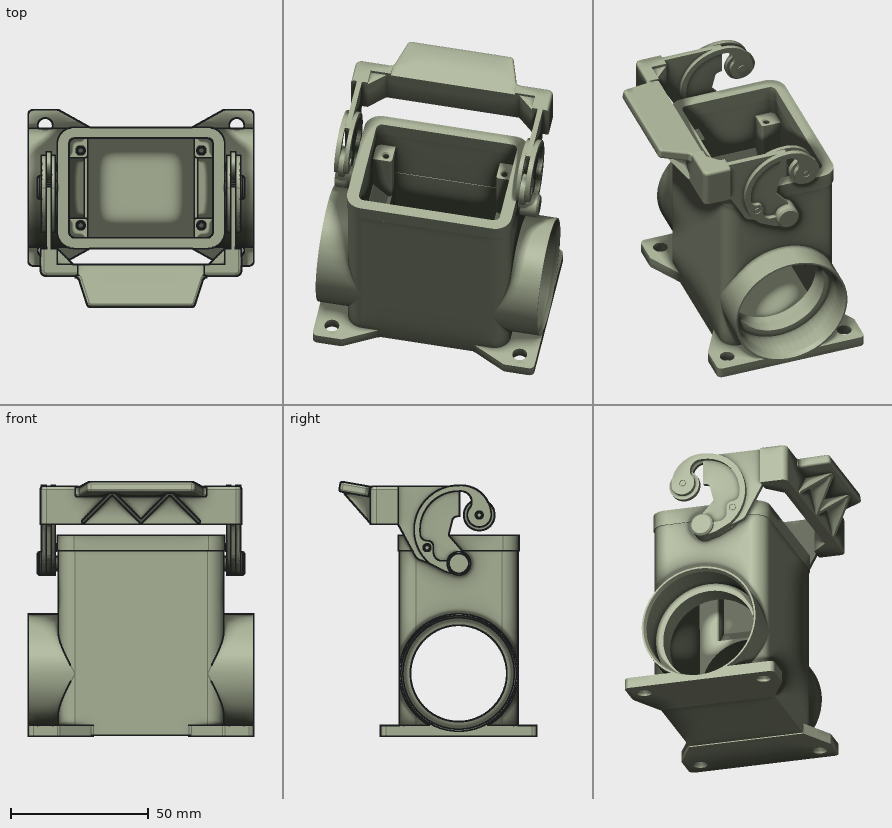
import cadquery as cq
import math

entry_span = 82.0
overall_height = 92.4
tab_front_y = -43.3

plate_length = entry_span
plate_width = 56.7
plate_height = 4.0
plate_corner_radius = 1.85
foot_straight = 11.0
foot_slant = 12.1
mount_hole_diameter = 5.4
mount_hole_x = 34.75
mount_hole_y = 22.6

body_length = 60.1
body_width = 43.25
body_bottom = 0.4
body_corner_radius = 6.0
rim_overhang = 0.4
rim_top = 73.0
rim_bottom = 67.4

cavity_length = 52.1
cavity_width = 36.0
cavity_corner_radius = 2.1
cavity_undercut = 0.2
floor_height = plate_height
lower_cavity_length = 38.6
ledge_width = 1.3
ledge_height = 41.1
post_top = 61.2
post_width = 7.0
post_edge_radius = 0.9
screw_x = 21.9
screw_y = 13.6
screw_diameter = 2.2
screw_mouth_diameter = 3.2
screw_depth = 11.1

entry_height = 22.8
entry_radius = body_width / 2
entry_bore_radius = 20.2
entry_bore_depth = 13.2
entry_chamfer_radius = 21.0
entry_chamfer_depth = 1.6
through_radius = 17.5

web_inner = 32.5
web_outer = 34.4
hook_inner = 31.05
hook_outer = 36.1
pivot_y = 0.1
pivot_z = 62.75
pivot_radius = 4.25
pivot_head_radius = 3.6
pivot_head_height = 1.5
pivot_pin_radius = 2.6
roller_y = 7.5
roller_z = 80.3
roller_radius = 5.6
hook_end_radius = 4.3
hook_arc_z = 74.95
hook_outer_radius = 16.2
hook_inner_radius = 14.05
stop_rivet_y = -11.5
stop_rivet_z = 68.5
rivet_radius = 1.4
rivet_core_radius = 0.9
rivet_height = 0.4

bar_half_length = 36.5
bar_arm_inner = 30.4
bar_rear_y = -22.0
bar_inner_y = -27.7
bar_front_y = -32.1
bar_bottom = 76.9
bar_top = 90.85
bar_corner_radius = 2.1
bar_edge_radius = 1.2
gusset_size = 5.8
gusset_top = 89.7

tab_tilt = math.radians(10)
tab_thickness = 3.7
tab_edge_radius = 0.8
tab_corner_radius = 1.4
tab_root_half = 23.8
tab_flare_width = 1.5
tab_flare_depth = 1.4
tab_recess_half = 22.9
tab_tip_half = 19.3

rib_width = 1.3
rib_step = 10.4
rib_bottom = 78.0
rib_tip_y = -41.6
rib_tip_z = 88.2


def box(x0, x1, y0, y1, z0, z1):
    return cq.Workplane("XY").box(x1 - x0, y1 - y0, z1 - z0, centered=False).translate((x0, y0, z0))


def rounded_block(length, width, radius, z0, z1):
    block = cq.Workplane("XY").workplane(offset=z0).rect(length, width).extrude(z1 - z0)
    return block.edges("|Z").fillet(radius)


def disc(y, z, radius, x0, x1):
    return cq.Workplane("YZ", origin=(x0, y, z)).circle(radius).extrude(x1 - x0)


def both_sides(shape):
    return shape.union(shape.mirror("YZ"))


def base_plate():
    half_x = plate_length / 2
    half_y = plate_width / 2
    straight_x = half_x - foot_straight
    slant_x = straight_x - foot_slant
    body_y = body_width / 2
    plate = (
        cq.Workplane("XY")
        .polyline([
            (-half_x, -half_y), (-straight_x, -half_y), (-slant_x, -body_y),
            (slant_x, -body_y), (straight_x, -half_y), (half_x, -half_y),
            (half_x, half_y), (straight_x, half_y), (slant_x, body_y),
            (-slant_x, body_y), (-straight_x, half_y), (-half_x, half_y),
        ])
        .close()
        .extrude(plate_height)
    )
    plate = plate.edges("|Z").fillet(plate_corner_radius)
    under_body = box(-slant_x, slant_x, -body_y, body_y, 0, body_bottom)
    mount_holes = (
        cq.Workplane("XY")
        .rect(2 * mount_hole_x, 2 * mount_hole_y, forConstruction=True)
        .vertices()
        .circle(mount_hole_diameter / 2)
        .extrude(plate_height)
    )
    return plate.cut(under_body).cut(mount_holes)


def housing_outside():
    body = rounded_block(body_length, body_width, body_corner_radius, body_bottom, rim_top)
    rim = rounded_block(
        body_length + 2 * rim_overhang, body_width + 2 * rim_overhang,
        body_corner_radius, rim_bottom, rim_top,
    )
    half_span = entry_span / 2
    entries = disc(0, entry_height, entry_radius, -half_span, half_span)
    return body.union(rim).union(entries)


def cavity():
    half_width = cavity_width / 2
    upper_half = cavity_length / 2
    lower_half = lower_cavity_length / 2
    ledge_x = lower_half + ledge_width
    slope_top = ledge_height + upper_half - ledge_x
    chamber = (
        cq.Workplane("XZ")
        .polyline([
            (-lower_half, floor_height), (lower_half, floor_height), (lower_half, ledge_height),
            (ledge_x, ledge_height), (upper_half, slope_top), (upper_half, rim_top),
            (-upper_half, rim_top), (-upper_half, slope_top), (-ledge_x, ledge_height),
            (-lower_half, ledge_height),
        ])
        .close()
        .extrude(half_width, both=True)
    )
    chamber = chamber.intersect(
        rounded_block(cavity_length, cavity_width, cavity_corner_radius, floor_height, rim_top)
    )
    undercut = rounded_block(
        cavity_length + 2 * cavity_undercut, cavity_width + 2 * cavity_undercut,
        cavity_corner_radius, slope_top, rim_bottom,
    )
    return chamber.union(undercut)


def screw_posts():
    inner_x = lower_cavity_length / 2
    outer_x = cavity_length / 2 + 2 * cavity_undercut
    outer_y = cavity_width / 2 + 2 * cavity_undercut
    inner_y = cavity_width / 2 - post_width
    post = box(inner_x, outer_x, inner_y, outer_y, floor_height, post_top)
    post = post.edges("|Z and <X and <Y").fillet(post_edge_radius)
    mouth = (screw_mouth_diameter - screw_diameter) / 2
    hole = (
        cq.Workplane("XY", origin=(screw_x, screw_y, post_top - screw_depth))
        .circle(screw_diameter / 2)
        .extrude(screw_depth)
        .faces(">Z")
        .workplane()
        .circle(screw_mouth_diameter / 2)
        .workplane(offset=-mouth)
        .circle(screw_diameter / 2)
        .loft()
    )
    pair = post.cut(hole)
    pair = pair.union(pair.mirror("XZ"))
    return both_sides(pair)


def entry_bores():
    half_span = entry_span / 2
    seat_x = half_span - entry_bore_depth
    section = (
        cq.Workplane("XZ", origin=(0, 0, entry_height))
        .polyline([
            (0, 0), (0, through_radius), (seat_x, through_radius), (seat_x, entry_bore_radius),
            (half_span - entry_chamfer_depth, entry_bore_radius),
            (half_span, entry_chamfer_radius), (half_span, 0),
        ])
        .close()
        .revolve(360, (0, 0, 0), (1, 0, 0))
    )
    return both_sides(section)


def on_circle(y, z, radius, degrees):
    angle = math.radians(degrees)
    return (y + radius * math.cos(angle), z + radius * math.sin(angle))


def lever_web():
    profile = (
        cq.Workplane("YZ", origin=(web_inner, 0, 0))
        .moveTo(0.4, bar_top)
        .lineTo(0.4, 79.9)
        .lineTo(-0.7, 79.8)
        .threePointArc((-1.8, 79.3), (-2.3, 78.2))
        .lineTo(-3.6, rim_top)
        .lineTo(pivot_y + pivot_radius * math.sin(math.radians(15)), 67.5)
        .lineTo(pivot_y, pivot_z)
        .lineTo(*on_circle(pivot_y, pivot_z, pivot_radius, 240))
        .lineTo(-4.9, 59.8)
        .lineTo(-10.4, 62.7)
        .lineTo(-14.05, 64.05)
        .threePointArc((-15.2, 64.7), (-15.9, 65.7))
        .lineTo(bar_rear_y, bar_bottom)
        .lineTo(bar_rear_y, bar_top)
        .close()
        .extrude(web_outer - web_inner)
    )
    pivot = disc(pivot_y, pivot_z, pivot_radius, web_inner, web_outer)
    roller = disc(roller_y, roller_z, roller_radius, web_inner, web_outer)
    return profile.union(pivot).union(roller)


def hook_plates():
    crown = (0, hook_arc_z + hook_outer_radius)
    tail = on_circle(0, hook_arc_z, hook_outer_radius, 230)
    neck = on_circle(roller_y, roller_z, hook_end_radius, 135)
    inner_crown = on_circle(0, hook_arc_z, hook_inner_radius, 85)
    inner_tail = on_circle(0, hook_arc_z, hook_inner_radius, 188)
    plate = (
        cq.Workplane("YZ", origin=(hook_inner, 0, 0))
        .moveTo(*tail)
        .threePointArc((-hook_outer_radius, hook_arc_z), crown)
        .threePointArc((8.5, 88.1), (roller_y + hook_end_radius, roller_z))
        .threePointArc((roller_y, roller_z - hook_end_radius), neck)
        .threePointArc((4.25, 87.0), inner_crown)
        .threePointArc(on_circle(0, hook_arc_z, hook_inner_radius, 135), inner_tail)
        .threePointArc((-12.9, 71.5), (-11.5, 71.0))
        .threePointArc((-9.8, 70.4), (-9.15, 68.8))
        .lineTo(-9.15, 66.9)
        .threePointArc((-8.1, 64.5), (-5.7, 63.7))
        .lineTo(pivot_y, 63.7)
        .lineTo(pivot_y, pivot_z)
        .lineTo(*on_circle(pivot_y, pivot_z, pivot_radius, 240))
        .lineTo(-4.9, 59.8)
        .close()
        .extrude(hook_outer - hook_inner)
    )
    plate = plate.union(disc(pivot_y, pivot_z, pivot_radius, hook_inner, hook_outer))
    gap = box(web_inner, web_outer, -27.7, 27.7, 0, overall_height)
    return plate.cut(gap)


def pivot_pin():
    head_start = hook_outer
    shank = disc(pivot_y, pivot_z, pivot_pin_radius, body_length / 2, head_start)
    head = disc(pivot_y, pivot_z, pivot_radius, head_start, head_start + pivot_head_height)
    head = head.faces(">X").chamfer(pivot_radius - pivot_head_radius)
    return shank.union(head)


def add_rivets(side):
    for y, z in [(roller_y, roller_z), (stop_rivet_y, stop_rivet_z)]:
        outer_groove = disc(y, z, rivet_radius, hook_outer - rivet_height, hook_outer)
        outer_groove = outer_groove.cut(disc(y, z, rivet_core_radius, hook_outer - rivet_height, hook_outer))
        inner_end = disc(y, z, rivet_radius, hook_inner - rivet_height, hook_inner)
        side = side.cut(outer_groove).union(inner_end)
    return side


def lever_bar():
    bar = box(-bar_half_length, bar_half_length, bar_front_y, bar_rear_y, bar_bottom, bar_top)
    bar = bar.edges("|Z and <Y").fillet(bar_corner_radius)
    bar = bar.faces(">Z").edges("not >Y").fillet(bar_edge_radius)
    bar = bar.cut(box(-bar_arm_inner, bar_arm_inner, bar_inner_y, bar_rear_y, bar_bottom, bar_top))
    gusset = (
        cq.Workplane("XY", origin=(bar_arm_inner, bar_inner_y, bar_bottom))
        .polyline([(0, 0), (-gusset_size, 0), (0, bar_rear_y - bar_inner_y)])
        .close()
        .extrude(gusset_top - bar_bottom)
    )
    return bar.union(both_sides(gusset))


def thumb_tab():
    core = tab_thickness - 2 * tab_edge_radius
    tip_y = tab_front_y + tab_edge_radius + core * math.sin(tab_tilt)
    tip_z = overall_height - tab_edge_radius
    corner_y = tip_y + tab_edge_radius * (math.sin(tab_tilt) - math.cos(tab_tilt))
    corner_z = tip_z + tab_edge_radius * (math.cos(tab_tilt) + math.sin(tab_tilt))
    normal = (0, math.sin(tab_tilt), math.cos(tab_tilt))
    plane = cq.Plane(origin=(0, corner_y, corner_z), xDir=(1, 0, 0), normal=normal)
    flare_length = (bar_front_y - corner_y) / math.cos(tab_tilt)
    root_length = (bar_inner_y - corner_y) / math.cos(tab_tilt)
    flare_half = tab_root_half - tab_flare_width
    flare_end = flare_length - tab_flare_depth
    flare_mid = (flare_half + 0.3 * tab_flare_width, flare_length - 0.3 * tab_flare_depth)
    slab = (
        cq.Workplane(plane)
        .moveTo(-tab_tip_half, 0)
        .lineTo(tab_tip_half, 0)
        .lineTo(flare_half, flare_end)
        .threePointArc(flare_mid, (tab_root_half, flare_length))
        .lineTo(tab_root_half, root_length)
        .lineTo(-tab_root_half, root_length)
        .lineTo(-tab_root_half, flare_length)
        .threePointArc((-flare_mid[0], flare_mid[1]), (-flare_half, flare_end))
        .close()
        .extrude(-tab_thickness)
    )
    across = cq.Vector(*normal)
    tip_zone = cq.selectors.BoxSelector(
        (-tab_root_half, tab_front_y - tab_thickness, 0),
        (tab_root_half, tab_front_y + tab_thickness, 2 * overall_height),
    )
    slab = slab.edges(cq.selectors.ParallelDirSelector(across)).edges(tip_zone).fillet(tab_corner_radius)
    for is_top in (True, False):
        face = slab.faces(cq.selectors.DirectionMinMaxSelector(across, is_top))
        slab = face.edges("not >Y").fillet(tab_edge_radius)
    clearance = cq.Workplane(plane).rect(2 * tab_recess_half, 2 * root_length).extrude(tab_thickness)
    return slab, clearance


def zigzag_ribs():
    rib_top = rib_bottom + rib_step
    legs = cq.Workplane("XY")
    depth = bar_inner_y - tab_front_y
    for index in range(4):
        mid_x = (index - 1.5) * rib_step
        angle = 45 if index % 2 == 0 else -45
        leg = (
            cq.Workplane("XZ", origin=(mid_x, bar_inner_y, (rib_bottom + rib_top) / 2))
            .slot2D(rib_step * math.sqrt(2) + rib_width, rib_width, angle)
            .extrude(depth)
        )
        legs = legs.union(leg)
    wedge = (
        cq.Workplane("YZ")
        .polyline([
            (bar_inner_y, rib_bottom - rib_width), (bar_front_y, rib_bottom - rib_width / 2),
            (rib_tip_y, rib_tip_z), (bar_inner_y, rib_tip_z),
        ])
        .close()
        .extrude(bar_half_length, both=True)
    )
    return legs.intersect(wedge)


housing = housing_outside().union(base_plate()).cut(cavity()).union(screw_posts()).cut(entry_bores())

lever_side = add_rivets(lever_web().union(hook_plates())).union(pivot_pin())
tab, tab_clearance = thumb_tab()
front_bar = lever_bar().cut(tab_clearance).union(tab).union(zigzag_ribs())

result = housing.union(both_sides(lever_side)).union(front_bar)